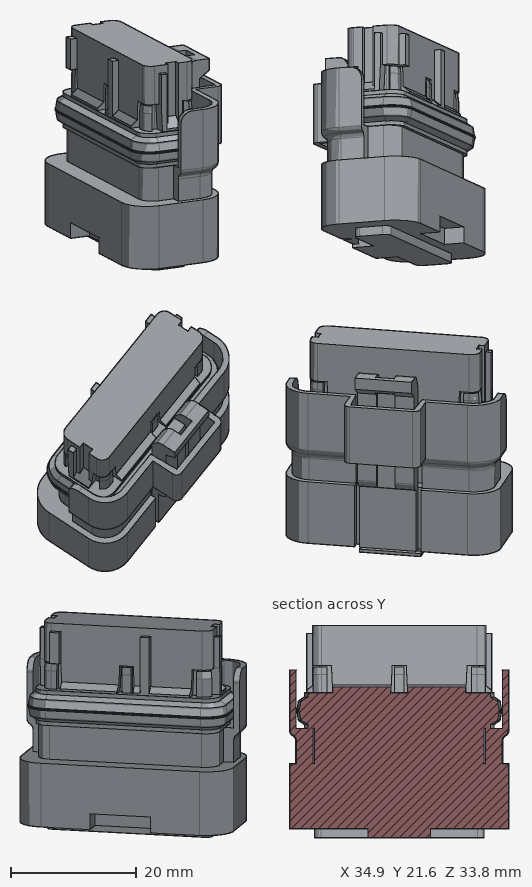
import cadquery as cq
import math

PLATE_BOTTOM = 0.0
BASE_BOTTOM = 1.43
BASE_TOP = 11.8
COLLAR_BOTTOM = 17.38
COLLAR_TOP = 23.07
SKIRT_EDGE = 23.42
POCKET_TOP = 27.43
SHROUD_TOP = 26.7
KEY_TOP = 32.5
CORE_TOP = 33.8
SEAL_MID = 20.2

BASE_X, BASE_Y, BASE_R = 34.9, 16.68, 4.43
NOTCH_X = 9.98
NOTCH_TOP = 4.0
PLATE_X, PLATE_Y, PLATE_R = 27.0, 6.07, 1.05
HOOK_STEM_Y, HOOK_TIP_Y, HOOK_LIP = 5.62, 6.7, 0.52

NECK_X, NECK_Y = 29.6, 9.98
COLLAR_X, COLLAR_Y = 30.15, 11.1
NECK_R = 2.35

SEAL_HALF = ((0.0, 2.2), (0.95, 1.57), (0.98, 1.43), (1.2, 0.17), (1.3, 0.07))

SHROUD_WALL = 1.0
SHROUD_STEP = 0.98
STEP_TOP, STEP_BOTTOM = 17.1, 15.43
SHROUD_END_R = 2.0
LEDGE_DEPTH = 3.4

HOOD_X, HOOD_BACK, HOOD_BOTTOM, HOOD_R = 12.32, 13.25, 17.2, 1.05
HOOD_WALL = 1.0
OPENING_FRONT_X, OPENING_BACK_X = 10.82, 10.25

LATCH_X = 9.2
ARM_FRONT, ARM_BACK = 7.0, 9.77
HEAD_BACK, HEAD_TOP, HEAD_BOTTOM = 11.5, 31.0, 29.1
HEAD_NECK_Z = 27.9
HEAD_CREST_Y, HEAD_FRONT_Z, HEAD_R = 8.4, 28.75, 1.45
ARM_ROOT_R = 1.4
LATCH_SLOT_X, LATCH_SLOT_FLOOR = 3.0, 27.92
LATCH_SLOT_STEP, LATCH_SLOT_BACK = 9.15, 10.45

CORE_X, CORE_Y, CORE_R = 27.65, 8.65, 1.45
SKIRT_X, SKIRT_Y = 29.45, 10.9
SKIRT_RISE = 1.6
SKIRT_TAPER = 51.0
CORE_NOTCH_DEPTH = 0.95
CORE_NOTCH_Y = (-0.45, 1.35)
FRONT_KEYS = ((-12.35, -10.8), (2.5, 3.98))
SIDE_KEY_Y = (-2.13, -1.08)
POCKET_DEPTH = 1.05
POCKET_R = 0.87
POCKET_DRAFT = 0.2
MID_POCKET_X = 2.25
CORNER_POCKET_X, CORNER_POCKET_Y = 10.8, 2.13
MID_PILLAR_X = 1.45
CORNER_PILLAR_X = 11.45
PILLAR_SIDE_Y, PILLAR_INNER_Y = 3.4, 2.8
PILLAR_TOP, PILLAR_SHOULDER = 27.2, 26.0
PILLAR_LEAN = 0.15


def span(x, y, z):
    """Box between the given (low, high) limits on each axis."""
    low = [min(pair) for pair in (x, y, z)]
    size = [abs(pair[1] - pair[0]) for pair in (x, y, z)]
    return cq.Workplane("XY").box(*size, centered=False).translate(tuple(low))


def centred(width):
    return (-width / 2, width / 2)


def rounded_block(width, depth, radius, z):
    return span(centred(width), centred(depth), z).edges("|Z").fillet(radius)


def prism_x(points, width):
    """Prism of a (y, z) outline, centred on X."""
    return cq.Workplane("YZ").polyline(points).close().extrude(width / 2, both=True)


def outline_path(width, depth, radius):
    """Back half of a rounded rectangle, from its left side at y = 0 round to its right side."""
    hx, hy = width / 2, depth / 2
    diag = radius * (1 - math.sqrt(0.5))
    return (
        cq.Workplane("XY")
        .moveTo(-hx, 0)
        .lineTo(-hx, hy - radius)
        .threePointArc((-hx + diag, hy - diag), (-hx + radius, hy))
        .lineTo(hx - radius, hy)
        .threePointArc((hx - diag, hy - diag), (hx, hy - radius))
        .lineTo(hx, 0)
    )


def make_base():
    base = rounded_block(BASE_X, BASE_Y, BASE_R, (BASE_BOTTOM, BASE_TOP))
    notch = span(centred(NOTCH_X), (-BASE_Y / 2, -NECK_Y / 2), (BASE_BOTTOM, NOTCH_TOP))
    base = base.cut(notch)
    for side in (-1, 1):
        slot_x = (side * LATCH_X / 2, side * OPENING_FRONT_X / 2)
        base = base.cut(span(slot_x, (ARM_FRONT, BASE_Y / 2), (BASE_BOTTOM, BASE_TOP)))
    plate = rounded_block(PLATE_X, PLATE_Y, PLATE_R, (PLATE_BOTTOM, BASE_BOTTOM))
    stem = span(centred(NOTCH_X), (0, HOOK_STEM_Y), (PLATE_BOTTOM, BASE_BOTTOM))
    lip = span(centred(NOTCH_X), (0, HOOK_TIP_Y), (PLATE_BOTTOM, HOOK_LIP))
    return base.union(plate).union(stem).union(lip)


def make_seal():
    """Ribbed bead, symmetric about its mid height, swept round the collar."""
    profile = [(out, SEAL_MID + rise) for out, rise in SEAL_HALF]
    profile += [(out, SEAL_MID - rise) for out, rise in reversed(SEAL_HALF)]
    root = NECK_R / 2
    profile = [(-root, profile[0][1])] + profile + [(-root, profile[-1][1])]
    half_x = COLLAR_X / 2
    points = [(-half_x - out, z) for out, z in profile]
    path = outline_path(COLLAR_X, COLLAR_Y, NECK_R)
    back = cq.Workplane("XZ").polyline(points).close().sweep(path)
    return back.union(back.mirror("XZ"))


def make_shroud():
    """Wall, S-shaped step and ledge swept round the back half, plus the hood."""
    left = -BASE_X / 2
    step_mid_x = left + SHROUD_STEP / 2
    step_mid_z = (STEP_TOP + STEP_BOTTOM) / 2
    profile = (
        cq.Workplane("XZ")
        .moveTo(left, SHROUD_TOP)
        .lineTo(left, STEP_TOP)
        .tangentArcPoint((step_mid_x, step_mid_z), relative=False)
        .tangentArcPoint((left + SHROUD_STEP, STEP_BOTTOM), relative=False)
        .lineTo(left + SHROUD_STEP, BASE_TOP)
        .lineTo(left + LEDGE_DEPTH, BASE_TOP)
        .lineTo(left + LEDGE_DEPTH, COLLAR_BOTTOM)
        .lineTo(left + SHROUD_WALL, COLLAR_BOTTOM)
        .lineTo(left + SHROUD_WALL, SHROUD_TOP)
        .close()
    )
    shroud = profile.sweep(outline_path(BASE_X, BASE_Y, BASE_R))

    end_z = SHROUD_TOP - SHROUD_END_R
    corner = span(centred(BASE_X), (0, SHROUD_END_R), (end_z, SHROUD_TOP))
    round_end = (
        cq.Workplane("YZ")
        .center(SHROUD_END_R, end_z)
        .circle(SHROUD_END_R)
        .extrude(BASE_X / 2, both=True)
    )
    shroud = shroud.cut(corner.cut(round_end))

    hood = span(centred(HOOD_X), (BASE_Y / 2 - SHROUD_WALL, HOOD_BACK), (HOOD_BOTTOM, SHROUD_TOP))
    hood = hood.edges("|Z and >Y").fillet(HOOD_R)
    front, back = OPENING_FRONT_X / 2, OPENING_BACK_X / 2
    opening = (
        cq.Workplane("XY", origin=(0, 0, BASE_TOP))
        .polyline(
            [
                (-front, 0),
                (front, 0),
                (front, ARM_FRONT),
                (back, HOOD_BACK - HOOD_WALL),
                (-back, HOOD_BACK - HOOD_WALL),
                (-front, ARM_FRONT),
            ]
        )
        .close()
        .extrude(SHROUD_TOP - BASE_TOP)
    )
    return shroud.union(hood).cut(opening)


def make_latch():
    latch = prism_x(
        [
            (ARM_FRONT, BASE_TOP),
            (ARM_BACK, BASE_TOP),
            (ARM_BACK, HEAD_NECK_Z),
            (HEAD_BACK, HEAD_BOTTOM),
            (HEAD_BACK, HEAD_TOP),
            (HEAD_CREST_Y, HEAD_TOP),
            (ARM_FRONT, HEAD_FRONT_Z),
        ],
        LATCH_X,
    )
    latch = latch.edges(cq.NearestToPointSelector((0, HEAD_CREST_Y, HEAD_TOP))).fillet(HEAD_R)
    latch = latch.edges(cq.NearestToPointSelector((0, ARM_BACK, BASE_TOP))).fillet(ARM_ROOT_R)
    recess = span(
        centred(LATCH_SLOT_X), (ARM_FRONT, LATCH_SLOT_STEP), (LATCH_SLOT_FLOOR, HEAD_TOP)
    )
    groove = span(
        centred(LATCH_SLOT_X), (LATCH_SLOT_STEP, LATCH_SLOT_BACK), (BASE_TOP, HEAD_TOP)
    )
    return latch.cut(recess).cut(groove)


def make_core():
    core = rounded_block(CORE_X, CORE_Y, CORE_R, (COLLAR_TOP, CORE_TOP))
    for side in (-1, 1):
        notch_x = (side * (CORE_X / 2 - CORE_NOTCH_DEPTH), side * CORE_X / 2)
        core = core.cut(span(notch_x, CORE_NOTCH_Y, (COLLAR_TOP, CORE_TOP)))

    skirt = span(centred(SKIRT_X), centred(SKIRT_Y), (COLLAR_TOP, SKIRT_EDGE))
    skirt = skirt.faces(">Z").wires().toPending().extrude(SKIRT_RISE, taper=SKIRT_TAPER)
    core = core.union(skirt)

    for key_x in FRONT_KEYS:
        core = core.union(span(key_x, (-SKIRT_Y / 2, 0), (COLLAR_TOP, KEY_TOP)))
    for side in (-1, 1):
        key_x = (side * (CORE_X / 2 - CORE_NOTCH_DEPTH), side * SKIRT_X / 2)
        core = core.union(span(key_x, SIDE_KEY_Y, (COLLAR_TOP, KEY_TOP)))
    return core


def flared_column(x, y, draft):
    """Column that rises from the collar to the pocket ceiling, wider at its foot."""
    width, depth = x[1] - x[0], y[1] - y[0]
    foot = cq.Workplane("XY", origin=((x[0] + x[1]) / 2, (y[0] + y[1]) / 2, COLLAR_TOP))
    return (
        foot.rect(width + 2 * draft, depth + 2 * draft)
        .workplane(offset=POCKET_TOP - COLLAR_TOP)
        .rect(width, depth)
        .loft(ruled=True)
    )


def four_corners(body):
    pair = body.union(body.mirror("YZ"))
    return pair.union(pair.mirror("XZ"))


def make_pockets():
    """Space cleared at the corners and at mid length, around the inset core."""
    corner = flared_column(
        (CORNER_POCKET_X, COLLAR_X / 2), (CORNER_POCKET_Y, COLLAR_Y / 2), POCKET_DRAFT
    )
    middle = flared_column(centred(MID_POCKET_X), centred(COLLAR_Y), POCKET_DRAFT)
    inset_core = rounded_block(
        CORE_X - 2 * POCKET_DEPTH, CORE_Y - 2 * POCKET_DEPTH, POCKET_R, (COLLAR_TOP, POCKET_TOP)
    )
    return four_corners(corner).union(middle).cut(inset_core)


def make_pillars():
    """Pillars standing in the pockets, flush with the core and leaning in at the top."""
    envelope = rounded_block(CORE_X, CORE_Y, CORE_R, (COLLAR_TOP, PILLAR_SHOULDER))
    lean_height = PILLAR_TOP - PILLAR_SHOULDER
    lean_angle = math.degrees(math.atan(PILLAR_LEAN / lean_height))
    envelope = envelope.faces(">Z").wires().toPending().extrude(lean_height, taper=lean_angle)

    inner_x = CORE_X / 2 - POCKET_DEPTH
    corner = (
        cq.Workplane("XY", origin=(0, 0, COLLAR_TOP))
        .polyline(
            [
                (CORNER_PILLAR_X, PILLAR_INNER_Y),
                (inner_x, PILLAR_INNER_Y),
                (CORE_X / 2, PILLAR_SIDE_Y),
                (CORE_X / 2, CORE_Y / 2),
                (CORNER_PILLAR_X, CORE_Y / 2),
            ]
        )
        .close()
        .extrude(PILLAR_TOP - COLLAR_TOP)
    )
    middle = span(centred(MID_PILLAR_X), centred(CORE_Y), (COLLAR_TOP, PILLAR_TOP))
    return envelope.intersect(four_corners(corner).union(middle))


neck = rounded_block(NECK_X, NECK_Y, NECK_R, (BASE_TOP, COLLAR_BOTTOM))
collar = rounded_block(COLLAR_X, COLLAR_Y, NECK_R, (COLLAR_BOTTOM, COLLAR_TOP))

result = make_base().union(make_shroud()).union(make_latch())
result = result.union(neck).union(collar).union(make_seal())
result = result.union(make_core().cut(make_pockets()).union(make_pillars()))